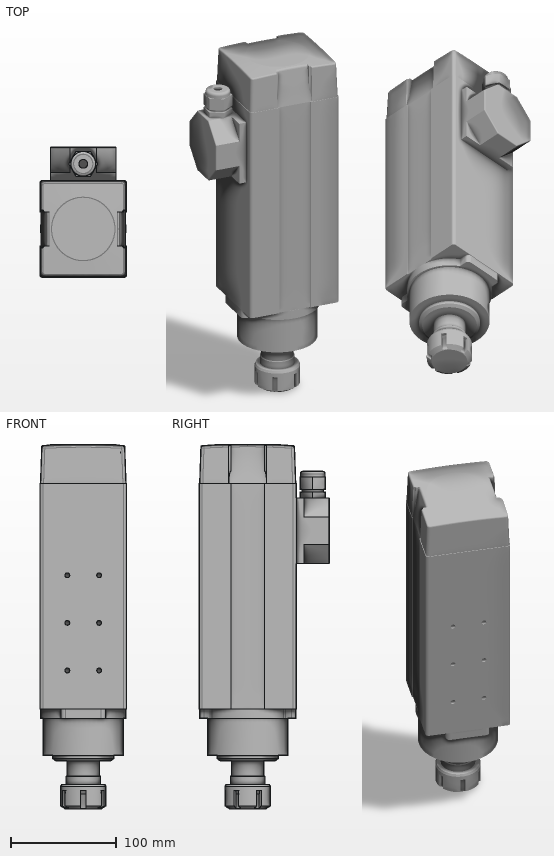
import cadquery as cq
import math


housing_width = 82.0
housing_depth = 92.0
housing_height = 213.6
housing_corner_radius = 3.0
side_recess_width = 32.0
side_recess_depth = 1.0

hole_diameter = 4.5
hole_depth = 10.0
hole_tip_angle = 118.0
hole_spacing_x = 30.0
hole_spacing_z = 45.0
hole_count_z = 3
lowest_hole_z = 36.6

cap_height = 36.5
cap_step = 0.5
cap_draft = 2.0
cap_corner_radius = 3.0
cap_top_radius = 1.4
cap_flat_radius = 30.0
cap_crown_slope = 4.0
cap_recess_top_depth = 7.0
cap_recess_edge_radius = 2.0
cap_recess_lip_radius = 2.0

flange_radius = 40.4
flange_thickness = 8.7
tab_reach = 45.5
tab_width = 42.0
tab_corner_radius = 4.0
tab_root_radius = 2.0
drum_radius = 38.0
drum_bottom_z = -43.6

nose_radius = 28.9
nose_bottom_z = -48.8
nose_chamfer_width = 3.0
nose_chamfer_height = 2.0

shaft_radius = 15.4
collar_radius = 16.4
collar_top_z = -63.0
collar_chamfer = 0.6

nut_radius = 21.5
nut_top_z = -71.0
nut_bottom_z = -94.4
nut_top_chamfer_width = 1.0
nut_top_chamfer_height = 2.2
nut_bottom_chamfer_width = 4.6
nut_bottom_chamfer_height = 3.0
slot_count = 6
slot_width = 5.0
slot_depth = 4.0
slot_top_depth = 3.0
slot_top_z = -77.1
slot_ramp_height = 3.0

box_width = 62.0
box_height = 62.2
box_bottom_z = 137.6
box_reach = 31.3
box_base_thickness = 7.2
box_bevel = 18.3
box_edge_radius = 1.0

gland_y = 61.5
gland_across_flats = 23.7
gland_hex_height = 5.5
gland_hex_turn = 30.0
gland_neck_radius = 10.4
gland_neck_height = 2.6
gland_nut_hex_height = 11.7
gland_dome_radius = 11.7
gland_dome_height = 5.4
gland_dome_rounding = 2.6
gland_bore_diameter = 8.3

edge_tolerance = 0.1

cap_top_z = housing_height + cap_height
box_top_z = box_bottom_z + box_height
housing_back_y = housing_depth / 2
cap_recess_floor_top_x = housing_width / 2 - cap_recess_top_depth
recess_floor_x = housing_width / 2 - side_recess_depth
gland_neck_z = box_top_z + gland_hex_height
gland_nut_z = gland_neck_z + gland_neck_height


def cylinder(radius, bottom_z, top_z):
    return cq.Workplane("XY").workplane(offset=bottom_z).circle(radius).extrude(top_z - bottom_z)


def make_housing():
    body = (
        cq.Workplane("XY")
        .rect(housing_width, housing_depth)
        .extrude(housing_height)
        .edges("|Z")
        .fillet(housing_corner_radius)
    )
    for side in (-1, 1):
        recess = cq.Workplane("XY").box(
            2 * side_recess_depth, side_recess_width, housing_height, centered=(True, True, False)
        )
        body = body.cut(recess.translate((side * housing_width / 2, 0, 0)))
    hole_radius = hole_diameter / 2
    tip_height = hole_radius / math.tan(math.radians(hole_tip_angle / 2))
    drilled_hole = (
        cq.Workplane("XY")
        .polyline([(0, 0), (hole_radius, 0), (hole_radius, hole_depth), (0, hole_depth + tip_height)])
        .close()
        .revolve(360, (0, 0, 0), (0, 1, 0))
    )
    for x in (-hole_spacing_x / 2, hole_spacing_x / 2):
        for row in range(hole_count_z):
            z = lowest_hole_z + row * hole_spacing_z
            body = body.cut(drilled_hole.translate((x, -housing_depth / 2, z)))
    return body


def cap_recess(side):
    """The side recess of the housing, carried on up the cap and getting deeper towards the top."""
    half_width = side_recess_width / 2
    radius = cap_recess_edge_radius
    recess = (
        cq.Workplane("XZ")
        .moveTo(side * recess_floor_x, housing_height)
        .lineTo(side * housing_width, housing_height)
        .lineTo(side * housing_width, cap_top_z)
        .lineTo(side * cap_recess_floor_top_x, cap_top_z)
        .close()
        .extrude(half_width + radius, both=True)
    )
    cheek_length = 2 * cap_height
    for end in (-1, 1):
        cheek = (
            cq.Workplane("XY")
            .moveTo(-side * radius, end * half_width)
            .radiusArc((0, end * (half_width + radius)), side * end * radius)
            .lineTo(-side * housing_width, end * (half_width + radius))
            .lineTo(-side * housing_width, end * half_width)
            .close()
            .extrude(cheek_length)
            .translate((0, 0, -cheek_length / 2))
            .rotate((0, 0, 0), (0, 1, 0), -side * cap_draft)
            .translate((side * (housing_width / 2 - cap_step), 0, housing_height))
        )
        recess = recess.cut(cheek)
    return recess


def is_recess_lip(edge):
    """Tell the crown edges along the recess floors from the other crown edges."""
    center = edge.Center()
    near_top = center.z > cap_top_z - 1
    return near_top and abs(abs(center.x) - cap_recess_floor_top_x) < edge_tolerance


def make_end_cap():
    body = (
        cq.Workplane("XY")
        .workplane(offset=housing_height)
        .rect(housing_width - 2 * cap_step, housing_depth - 2 * cap_step)
        .extrude(cap_height, taper=cap_draft)
        .edges("not #Z")
        .fillet(cap_corner_radius)
    )
    crown_radius = housing_width
    crown_drop = (crown_radius - cap_flat_radius) * math.tan(math.radians(cap_crown_slope))
    crown = (
        cq.Workplane("XZ")
        .moveTo(0, housing_height)
        .lineTo(crown_radius, housing_height)
        .lineTo(crown_radius, cap_top_z - crown_drop)
        .lineTo(cap_flat_radius, cap_top_z)
        .lineTo(0, cap_top_z)
        .close()
        .revolve(360, (0, 0, 0), (0, 1, 0))
    )
    body = body.intersect(crown)
    body = body.edges("%HYPERBOLA or %BSPLINE").fillet(cap_top_radius)
    for side in (-1, 1):
        body = body.cut(cap_recess(side))
    recess_lip = [edge for edge in body.edges("|Y or %HYPERBOLA").vals() if is_recess_lip(edge)]
    return body.newObject(recess_lip).fillet(cap_recess_lip_radius)


def make_front_flange():
    plate = cylinder(flange_radius, -flange_thickness, 0)
    tabs = (
        cq.Workplane("XY")
        .rect(tab_width, 2 * tab_reach)
        .extrude(-flange_thickness)
        .edges("|Z")
        .fillet(tab_corner_radius)
    )
    flange = plate.union(tabs)
    root_x = tab_width / 2
    root_y = math.sqrt(flange_radius**2 - root_x**2)
    roots = [
        edge
        for edge in flange.edges("|Z").vals()
        if abs(abs(edge.Center().y) - root_y) < edge_tolerance
        and abs(abs(edge.Center().x) - root_x) < edge_tolerance
    ]
    flange = flange.newObject(roots).fillet(tab_root_radius)
    return flange.union(cylinder(drum_radius, drum_bottom_z, -flange_thickness))


def make_nose_ring():
    ring = cylinder(nose_radius, nose_bottom_z, drum_bottom_z)
    return ring.faces("<Z").edges().chamfer(nose_chamfer_height, nose_chamfer_width)


def make_shaft():
    collar = cylinder(collar_radius, nut_top_z, collar_top_z)
    collar = collar.faces(">Z").edges().chamfer(collar_chamfer)
    return collar.union(cylinder(shaft_radius, collar_top_z, nose_bottom_z))


def make_collet_nut():
    body = (
        cq.Workplane("XZ")
        .moveTo(0, nut_bottom_z)
        .lineTo(nut_radius - nut_bottom_chamfer_width, nut_bottom_z)
        .lineTo(nut_radius, nut_bottom_z + nut_bottom_chamfer_height)
        .lineTo(nut_radius, nut_top_z - nut_top_chamfer_height)
        .lineTo(nut_radius - nut_top_chamfer_width, nut_top_z)
        .lineTo(0, nut_top_z)
        .close()
        .revolve(360, (0, 0, 0), (0, 1, 0))
    )
    floor_radius = nut_radius - slot_depth
    slot = (
        cq.Workplane("YZ")
        .moveTo(-floor_radius, nut_bottom_z)
        .lineTo(-floor_radius, slot_top_z - slot_ramp_height)
        .lineTo(slot_top_depth - nut_radius, slot_top_z)
        .lineTo(-nut_radius - slot_depth, slot_top_z)
        .lineTo(-nut_radius - slot_depth, nut_bottom_z)
        .close()
        .extrude(slot_width / 2, both=True)
    )
    for index in range(slot_count):
        body = body.cut(slot.rotate((0, 0, 0), (0, 0, 1), index * 360 / slot_count))
    return body


def make_terminal_box():
    box_center_z = box_bottom_z + box_height / 2

    def block(start_y, end_y):
        size_y = end_y - start_y
        solid = cq.Workplane("XY").box(box_width, size_y, box_height)
        return solid.translate((0, start_y + size_y / 2, box_center_z))

    bevel_start_y = housing_back_y + box_base_thickness
    base = block(housing_back_y, bevel_start_y)
    cover = block(bevel_start_y, housing_back_y + box_reach).edges("|Y").chamfer(box_bevel)
    cover = cover.faces(">Y").edges().fillet(box_edge_radius)
    return base.union(cover)


def gland_hexagon(bottom_z, height):
    hexagon = cq.Workplane("XY").polygon(6, gland_across_flats, circumscribed=True).extrude(height)
    return hexagon.rotate((0, 0, 0), (0, 0, 1), gland_hex_turn).translate((0, gland_y, bottom_z))


def gland_cylinder(radius, bottom_z, height):
    return cylinder(radius, bottom_z, bottom_z + height).translate((0, gland_y, 0))


def make_gland_body():
    neck = gland_cylinder(gland_neck_radius, gland_neck_z, gland_neck_height)
    return gland_hexagon(box_top_z, gland_hex_height).union(neck)


def make_gland_nut():
    dome_z = gland_nut_z + gland_nut_hex_height
    dome = gland_cylinder(gland_dome_radius, dome_z, gland_dome_height)
    dome = dome.faces(">Z").edges().fillet(gland_dome_rounding)
    bore_height = gland_nut_hex_height + gland_dome_height
    bore = gland_cylinder(gland_bore_diameter / 2, gland_nut_z, bore_height)
    return gland_hexagon(gland_nut_z, gland_nut_hex_height).union(dome).cut(bore)


housing = make_housing()
end_cap = make_end_cap()
front_flange = make_front_flange()
nose_ring = make_nose_ring()
shaft = make_shaft()
collet_nut = make_collet_nut()
terminal_box = make_terminal_box()
gland_body = make_gland_body()
gland_nut = make_gland_nut()

result = cq.Compound.makeCompound(
    [
        housing.val(),
        end_cap.val(),
        front_flange.val(),
        nose_ring.val(),
        shaft.val(),
        collet_nut.val(),
        terminal_box.val(),
        gland_body.val(),
        gland_nut.val(),
    ]
)